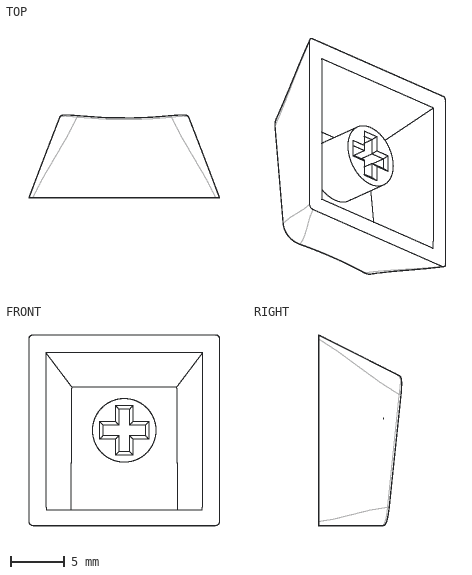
import cadquery as cq
import math

base_size = 18.0
wall = 1.5

cap_width = 12.0
cap_tilt = math.radians(6.0)
cap_height_mid = 7.5
back_wall_angle = math.radians(26.75)

corner_radius_rim = 0.4
corner_radius_cap = 1.82
cap_edge_radius = 0.3

dish_radius = 42.0
dish_depth = 0.48

stem_diameter = 6.0
stem_recess = 0.95
socket_length = 4.0
socket_width = 1.0
socket_chamfer = 0.32

half_base = base_size / 2
cap_slope = math.tan(cap_tilt)
back_slope = math.tan(back_wall_angle)
cap_front_z = -half_base
cap_back_z = (half_base - back_slope * cap_height_mid) / (1 + back_slope * cap_slope)
stem_length = cap_height_mid - stem_recess


def rectangle_wire(half_width, front, back):
    """Closed rectangle spanning two (y, z) edges that run along X."""
    corners = [
        (-half_width, *front),
        (half_width, *front),
        (half_width, *back),
        (-half_width, *back),
    ]
    return cq.Wire.makePolygon([cq.Vector(*corner) for corner in corners], close=True)


def cap_edge(z):
    """(y, z) of the line across the cap plane at height z."""
    return (cap_height_mid + z * cap_slope, z)


def make_sharp_body():
    """Solid with sharp edges, ruled from the square rim to the tilted cap rectangle."""
    rim = rectangle_wire(half_base, (0, -half_base), (0, half_base))
    cap = rectangle_wire(cap_width / 2, cap_edge(cap_front_z), cap_edge(cap_back_z))
    return cq.Solid.makeLoft([rim, cap], True)


def make_cavity(body):
    """Space left inside the body by walls of uniform thickness, open at the rim."""
    walls = cq.Workplane(body).faces("<Y").shell(-wall)
    return cq.Workplane(body).cut(walls)


def round_corners(body):
    """Round the four edges from rim to cap with a radius that grows along them."""
    builder = cq.occ_impl.shapes.BRepFilletAPI_MakeFillet(body.wrapped)
    for edge in cq.Workplane(body).edges("not(#X or |X)").vals():
        radii = [corner_radius_rim, corner_radius_cap]
        if edge.startPoint().y > edge.endPoint().y:
            radii.reverse()
        builder.Add(*radii, edge.wrapped)
    return cq.Shape.cast(builder.Shape()).Solids()[0]


def cut_dish(body):
    """Hollow the cap with a cylinder lying along its slope, then soften the dish edge."""
    axis_plane = cq.Plane(
        origin=(0, cap_height_mid, 0),
        xDir=(1, 0, 0),
        normal=(0, math.sin(cap_tilt), math.cos(cap_tilt)),
    )
    dish = (
        cq.Workplane(axis_plane)
        .center(0, dish_radius - dish_depth)
        .circle(dish_radius)
        .extrude(base_size, both=True)
    )
    dished = cq.Workplane(body).cut(dish)
    return dished.faces("%CYLINDER").edges().fillet(cap_edge_radius)


def make_stem():
    """Round post with a cross socket through its length and a chamfered mouth.

    It reaches past the cavity floor; only the part inside the cavity is kept.
    """
    stem_face = cq.Workplane("XZ", origin=(0, stem_recess, 0))
    post = stem_face.circle(stem_diameter / 2).extrude(-stem_length)
    for size_x, size_z in [(socket_length, socket_width), (socket_width, socket_length)]:
        post = post.cut(stem_face.rect(size_x, size_z).extrude(-stem_length))
    return post.faces("<Y").edges("not %CIRCLE").chamfer(socket_chamfer)


sharp_body = make_sharp_body()
outer = cut_dish(round_corners(sharp_body))
hollow = make_cavity(sharp_body).cut(make_stem())
result = outer.cut(hollow)